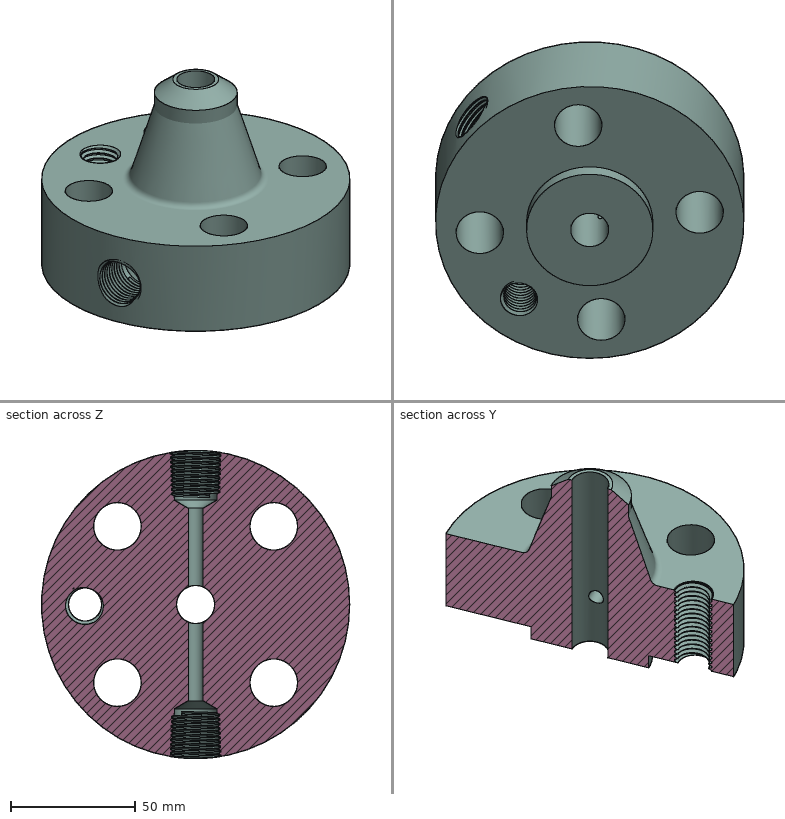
import cadquery as cq
import math

INCH = 25.4

FLANGE_DIA = 124.0
OVERALL_HEIGHT = 88.9
RAISED_FACE_DIA = 50.8
RAISED_FACE_HEIGHT = 6.35
FLANGE_THICKNESS = 38.1

NECK_DIA = 33.4
NECK_WALL = 9.09
NECK_STRAIGHT = 6.0
LAND_WIDTH = 1.6
BEVEL_ANGLE = 37.5
HUB_BASE_DIA = 54.0
HUB_FILLET_RADIUS = 3.0
EDGE_SEARCH_MARGIN = 1.0

BOLT_CIRCLE_DIA = 88.9
BOLT_COUNT = 4
BOLT_HOLE_DIA = 19.0
FIRST_BOLT_ANGLE = 45.0

JACK_MINOR_DIA = 13.2
JACK_MAJOR_DIA = 15.875
JACK_MOUTH_DIA = 16.4
JACK_PITCH = INCH / 11

TAP_DISTANCE_FROM_FACE = 23.8
TAP_MINOR_DIA = 18.4
TAP_MAJOR_DIA = 20.5
TAP_PITCH = INCH / 14
TAP_TAPER = 1 / 16
TAP_DEPTH = 20.0
TAP_DRILL_DIA = 6.35
DRILL_POINT_ANGLE = 118.0

THREAD_FLANK_ANGLE = 30.0
THREAD_OVERRUN = 2.0
THREAD_START_ANGLE = 230.0
CREST_FLAT_FRACTION = 1 / 16
CREST_OVERLAP = 0.05

flange_radius = FLANGE_DIA / 2
flange_top = RAISED_FACE_HEIGHT + FLANGE_THICKNESS
neck_radius = NECK_DIA / 2
bore_radius = neck_radius - NECK_WALL
land_radius = bore_radius + LAND_WIDTH
bevel_height = (neck_radius - land_radius) * math.tan(math.radians(BEVEL_ANGLE))
bevel_base = OVERALL_HEIGHT - bevel_height
hub_taper_top = bevel_base - NECK_STRAIGHT


def make_body():
    """Revolved flange, raised face and weld neck with the central bore."""
    body = (
        cq.Workplane("XZ")
        .moveTo(bore_radius, 0)
        .lineTo(RAISED_FACE_DIA / 2, 0)
        .lineTo(RAISED_FACE_DIA / 2, RAISED_FACE_HEIGHT)
        .lineTo(flange_radius, RAISED_FACE_HEIGHT)
        .lineTo(flange_radius, flange_top)
        .lineTo(HUB_BASE_DIA / 2, flange_top)
        .lineTo(neck_radius, hub_taper_top)
        .lineTo(neck_radius, bevel_base)
        .lineTo(land_radius, OVERALL_HEIGHT)
        .lineTo(bore_radius, OVERALL_HEIGHT)
        .close()
        .revolve(360, (0, 0, 0), (0, 1, 0))
    )
    foot_zone = cq.selectors.BoxSelector(
        (-HUB_BASE_DIA, -HUB_BASE_DIA, flange_top - EDGE_SEARCH_MARGIN),
        (HUB_BASE_DIA, HUB_BASE_DIA, flange_top + EDGE_SEARCH_MARGIN),
        boundingbox=True,
    )
    return body.edges(foot_zone).fillet(HUB_FILLET_RADIUS)


def make_thread_groove(minor_radius, major_radius, pitch, length, taper_angle=None):
    """Right-hand helical groove along +Z; the radii apply at its lower end, z = 0."""
    inner_radius = minor_radius - CREST_OVERLAP
    flank_slope = math.tan(math.radians(THREAD_FLANK_ANGLE))
    half_width = pitch * (1 - CREST_FLAT_FRACTION) / 2
    root_half = half_width - (major_radius - minor_radius) * flank_slope
    crest_half = half_width + CREST_OVERLAP * flank_slope
    corners = [
        (inner_radius, -crest_half),
        (major_radius, -root_half),
        (major_radius, root_half),
        (inner_radius, crest_half),
    ]
    helix_form = {} if taper_angle is None else {"angle": taper_angle}
    rails = [
        cq.Wire.makeHelix(pitch, length, radius, **helix_form).translate(cq.Vector(0, 0, height)).Edges()[0]
        for radius, height in corners
    ]
    next_rails = rails[1:] + rails[:1]
    sides = [cq.Face.makeRuledSurface(rail, following) for rail, following in zip(rails, next_rails)]
    ends = [
        cq.Face.makeFromWires(cq.Wire.makePolygon([rail.positionAt(end) for rail in rails], close=True))
        for end in (0, 1)
    ]
    groove = cq.Workplane(cq.Solid.makeSolid(cq.Shell.makeShell(sides + ends)))
    return groove.rotate((0, 0, 0), (0, 0, 1), THREAD_START_ANGLE)


def make_jack_screw_hole():
    """Groove and drill of the threaded through hole, with a 45-degree chamfer at its mouth."""
    minor_radius = JACK_MINOR_DIA / 2
    mouth_radius = JACK_MOUTH_DIA / 2
    drill = (
        cq.Workplane("XZ")
        .lineTo(minor_radius, 0)
        .lineTo(minor_radius, flange_top - (mouth_radius - minor_radius))
        .lineTo(mouth_radius, flange_top)
        .lineTo(mouth_radius, OVERALL_HEIGHT)
        .lineTo(0, OVERALL_HEIGHT)
        .close()
        .revolve(360, (0, 0, 0), (0, 1, 0))
    )
    groove = make_thread_groove(
        minor_radius,
        JACK_MAJOR_DIA / 2,
        JACK_PITCH,
        FLANGE_THICKNESS + 2 * THREAD_OVERRUN,
    ).translate((0, 0, RAISED_FACE_HEIGHT - THREAD_OVERRUN))
    return groove, drill


def make_tap():
    """Groove and drill of a tapered port along Z, with its mouth at z = flange_radius."""
    slope = TAP_TAPER / 2
    bottom_z = flange_radius - TAP_DEPTH
    mouth_z = flange_radius + THREAD_OVERRUN
    bottom_radius = TAP_MINOR_DIA / 2 - slope * TAP_DEPTH
    mouth_radius = TAP_MINOR_DIA / 2 + slope * THREAD_OVERRUN
    drill_radius = TAP_DRILL_DIA / 2
    point_height = (bottom_radius - drill_radius) / math.tan(math.radians(DRILL_POINT_ANGLE / 2))
    drill = (
        cq.Workplane("XZ")
        .lineTo(drill_radius, 0)
        .lineTo(drill_radius, bottom_z - point_height)
        .lineTo(bottom_radius, bottom_z)
        .lineTo(mouth_radius, mouth_z)
        .lineTo(0, mouth_z)
        .close()
        .revolve(360, (0, 0, 0), (0, 1, 0))
    )
    groove_start = bottom_z + TAP_PITCH
    start_radius = bottom_radius + slope * TAP_PITCH
    groove_depth = (TAP_MAJOR_DIA - TAP_MINOR_DIA) / 2
    groove = make_thread_groove(
        start_radius,
        start_radius + groove_depth,
        TAP_PITCH,
        mouth_z - groove_start,
        math.degrees(math.atan(slope)),
    ).translate((0, 0, groove_start))
    return groove, drill


def make_bolt_holes():
    """Plain through holes on the bolt circle."""
    return (
        cq.Workplane("XY")
        .polarArray(BOLT_CIRCLE_DIA / 2, FIRST_BOLT_ANGLE, 360, BOLT_COUNT)
        .circle(BOLT_HOLE_DIA / 2)
        .extrude(OVERALL_HEIGHT)
    )


result = make_body().cut(make_bolt_holes())

for cutter in make_jack_screw_hole():
    result = result.cut(cutter.translate((-BOLT_CIRCLE_DIA / 2, 0, 0)))

for side_angle in (0, 180):
    for cutter in make_tap():
        placed_cutter = (
            cutter.rotate((0, 0, 0), (1, 0, 0), 90)
            .rotate((0, 0, 0), (0, 0, 1), side_angle)
            .translate((0, 0, TAP_DISTANCE_FROM_FACE))
        )
        result = result.cut(placed_cutter)